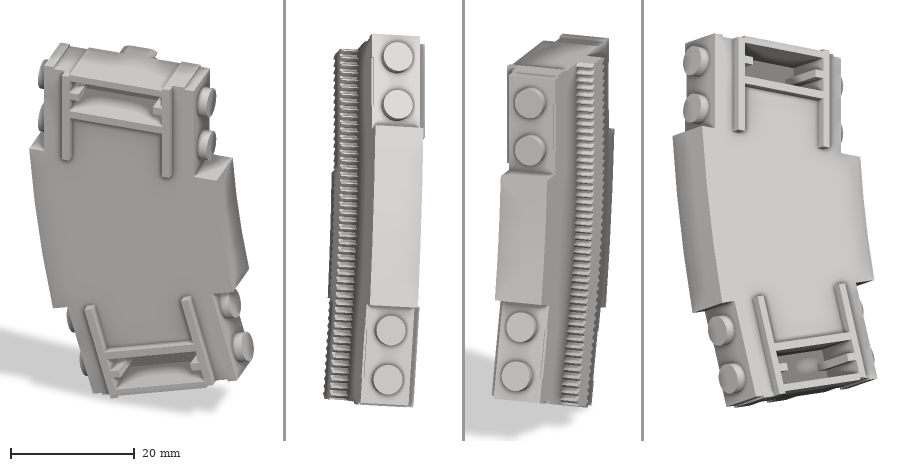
import cadquery as cq
import math


bend_radius = 89.95
bend_angle = 16.0
end_length = 15.95
bend_length = bend_radius * math.radians(bend_angle)

body_thickness = 8.0
end_half_width = 12.85
left_wing = 15.4
right_wing = 16.75
left_bulge = 0.5
right_bulge = 0.35

step_height = 0.35
step_inner = 8.0
step_outer = 11.2

frame_height = 1.6
bar_width = 1.25
end_bar_width = 1.15
pocket_height = 5.6
cleat_length = 1.6
cleat_width = 1.25
frame_outer = step_inner + bar_width
pocket_depth = body_thickness - frame_height
pocket_top = end_length - end_bar_width
pocket_bottom = pocket_top - pocket_height
pocket_middle = (pocket_top + pocket_bottom) / 2

stud_diameter = 4.8
stud_length = 1.6
first_stud_level = 3.95
stud_spacing = 8.0
stud_levels = [first_stud_level, first_stud_level + stud_spacing]

notch_size = 0.35

rack_height = 2.8
rack_root = 2.0
rack_tip = 2.9
teeth_per_end = 13
teeth_on_bend = 21
flank_length = 0.35
tip_length = 0.2


def box(x0, x1, y0, y1, z0, z1):
    return cq.Workplane("XY").box(x1 - x0, y1 - y0, z1 - z0, centered=False).translate((x0, y0, z0))


def path_point(distance, offset):
    """X, Z of a point down the track, offset to the right of the track centre line."""
    along_bend = min(max(distance - end_length, 0), bend_length)
    angle = along_bend / bend_radius
    straight = distance - end_length - along_bend
    radius = bend_radius - offset
    x = bend_radius - radius * math.cos(angle) + straight * math.sin(angle)
    z = -radius * math.sin(angle) - straight * math.cos(angle)
    return (x, z)


def extrude_rearward(sketch, y_start, depth):
    """Extrude a closed XZ sketch toward +Y, starting at y_start."""
    return sketch.extrude(-depth).translate((0, y_start, 0))


def bend_body():
    start = end_length
    end = end_length + bend_length
    sketch = (
        cq.Workplane("XZ")
        .moveTo(*path_point(start, right_wing))
        .lineTo(*path_point(start, -left_wing))
        .sagittaArc(path_point(end, -left_wing), -left_bulge)
        .lineTo(*path_point(end, right_wing))
        .sagittaArc(path_point(start, right_wing), right_bulge)
        .close()
    )
    return extrude_rearward(sketch, 0, body_thickness)


def end_block():
    """Upper end: stepped block with frame, pocket, studs and notches."""
    block = box(-end_half_width, end_half_width, 0, body_thickness, 0, end_length)
    frame = box(-frame_outer, frame_outer, -frame_height, 0, 0, end_length)
    tab = box(step_inner, step_outer, 0, body_thickness, end_length, end_length + step_height)
    tab_front = box(step_inner, frame_outer, -frame_height, 0, end_length, end_length + step_height)
    block = block.union(frame).union(tab).union(tab_front)

    block = block.cut(
        box(-step_outer, -step_inner, -frame_height, body_thickness, end_length - step_height, end_length)
    )
    block = block.cut(box(-step_inner, step_inner, -frame_height, 0, 0, pocket_bottom - bar_width))

    pocket = box(-step_inner, step_inner, -frame_height, pocket_depth, pocket_bottom, pocket_top)
    for x in (-step_inner, step_inner - cleat_length):
        pocket = pocket.cut(
            box(
                x, x + cleat_length, -frame_height, pocket_depth,
                pocket_middle - cleat_width / 2, pocket_middle + cleat_width / 2,
            )
        )
    block = block.cut(pocket)

    for x in (-end_half_width, end_half_width - notch_size):
        block = block.cut(
            box(x, x + notch_size, body_thickness - notch_size, body_thickness, *stud_levels)
        )

    for z in stud_levels:
        for side in (-1, 1):
            stud = cq.Solid.makeCylinder(
                stud_diameter / 2,
                stud_length,
                cq.Vector(side * end_half_width, body_thickness / 2, z),
                cq.Vector(side, 0, 0),
            )
            block = block.union(cq.Workplane(stud))
    return block


def lower_end(upper):
    """The upper end turned upside down and carried around the bend."""
    turned = upper.rotate((0, 0, 0), (0, 1, 0), 180)
    return turned.rotate((bend_radius, 0, 0), (bend_radius, 1, 0), -bend_angle)


def rack():
    end_pitches = [end_length / teeth_per_end] * teeth_per_end
    bend_pitches = [bend_length / teeth_on_bend] * teeth_on_bend
    profile = []
    distance = 0
    for pitch in end_pitches + bend_pitches + end_pitches:
        tip_start = distance + flank_length
        tip_end = tip_start + tip_length
        profile += [
            (distance, rack_root),
            (tip_start, rack_tip),
            (tip_end, rack_tip),
            (tip_end + flank_length, rack_root),
        ]
        distance += pitch
    profile.append((distance, rack_root))
    right_side = [path_point(along, offset) for along, offset in profile]
    left_side = [path_point(along, -offset) for along, offset in reversed(profile)]
    sketch = cq.Workplane("XZ").polyline(right_side + left_side).close()
    return extrude_rearward(sketch, body_thickness, rack_height)


upper = end_block()
result = bend_body().union(upper).union(lower_end(upper)).union(rack())